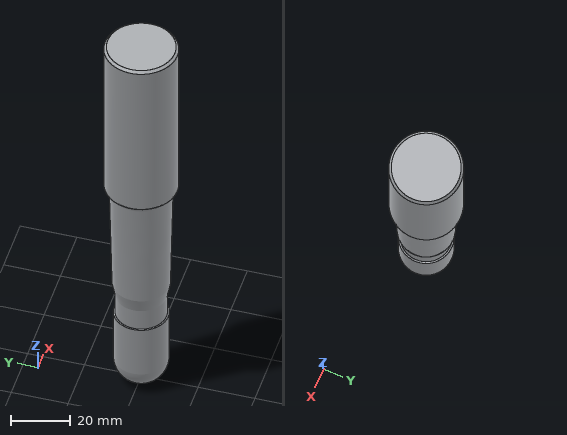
import cadquery as cq

total_length = 152.4
shank_diameter = 25.5
tip_diameter = 19.0
neck_diameter = 17.8
top_chamfer = 0.9

taper_top_diameter = 21.8
taper_bottom_diameter = 20.0

tip_top = 30.0
neck_top = 38.3
taper_bottom = 43.7
taper_top = 86.1
shank_bottom = 88.8

shank_radius = shank_diameter / 2
tip_radius = tip_diameter / 2
neck_radius = neck_diameter / 2
taper_top_radius = taper_top_diameter / 2
taper_bottom_radius = taper_bottom_diameter / 2


def make_holder():
    """Cylindrical shank, hollow-curved shoulder, long taper, short cone and neck."""
    return (
        cq.Workplane("XZ")
        .moveTo(0, tip_top)
        .lineTo(neck_radius, tip_top)
        .lineTo(neck_radius, neck_top)
        .lineTo(taper_bottom_radius, taper_bottom)
        .lineTo(taper_top_radius, taper_top)
        .tangentArcPoint((shank_radius, shank_bottom), relative=False)
        .lineTo(shank_radius, total_length - top_chamfer)
        .lineTo(shank_radius - top_chamfer, total_length)
        .lineTo(0, total_length)
        .close()
        .revolve(360, (0, 0), (0, 1))
    )


def make_ball_tip():
    """Cylinder with a hemispherical lower end, seated flat against the neck."""
    return (
        cq.Workplane("XZ")
        .moveTo(0, 0)
        .radiusArc((tip_radius, tip_radius), -tip_radius)
        .lineTo(tip_radius, tip_top)
        .lineTo(0, tip_top)
        .close()
        .revolve(360, (0, 0), (0, 1))
    )


holder = make_holder()
ball_tip = make_ball_tip()

result = cq.Compound.makeCompound([holder.val(), ball_tip.val()])